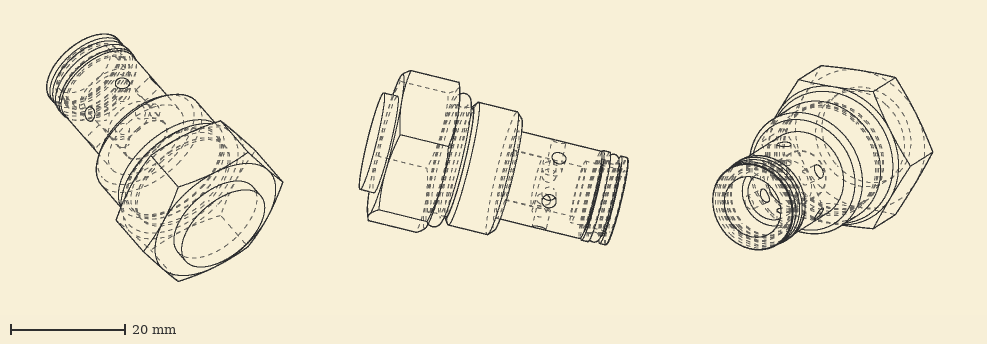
import cadquery as cq
import math

NOSE_X = -22.22
SHOULDER_X = -2.4
THREAD_END_X = 6.4
HEX_START_X = 9.55
HEX_END_X = 19.75
PLUG_END_X = 22.22

SLEEVE_DIAMETER = 15.82
NOSE_CHAMFER = 0.15
NOSE_FLANGE_LENGTH = 1.2
SEAL_GROOVE_LENGTH = 3.6
SEAL_GROOVE_DIAMETER = 13.2

MOUTH_DIAMETER = 11.1
MOUTH_DEPTH = 7.02
BORE_DIAMETER = 8.9
BORE_DEPTH = 19.82

PORT_DIAMETER = 2.5
PORT_COUNT = 6
PORT_X = -9.9

THREAD_DIAMETER = 22.22
FRONT_CHAMFER = 1.0
BACK_CHAMFER_LENGTH = 0.75
BACK_CHAMFER_DEPTH = 1.02
NECK_DIAMETER = 19.55

HEX_SIDES = 6
HEX_ACROSS_FLATS = 25.4
HEX_CHAMFER_ANGLE = 20.0

PLUG_DIAMETER = 17.45

NOSE_RING_OUTER_DIAMETER = 15.85
NOSE_RING_THICKNESS = 1.8
NECK_RING_OUTER_DIAMETER = 24.1
NECK_RING_THICKNESS = 2.5

BACKUP_RING_DIAMETER = 16.22
BACKUP_RING_WIDTH = 1.15
BACKUP_RING_GAP = 0.35

POPPET_DIAMETER = 8.65
POPPET_LENGTH = 5.35

groove_start_x = NOSE_X + NOSE_FLANGE_LENGTH
groove_end_x = groove_start_x + SEAL_GROOVE_LENGTH
backup_ring_end_x = groove_end_x - BACKUP_RING_GAP
backup_ring_start_x = backup_ring_end_x - BACKUP_RING_WIDTH
nose_ring_x = backup_ring_start_x - NOSE_RING_THICKNESS / 2
neck_ring_x = HEX_START_X - NECK_RING_THICKNESS / 2
bore_end_x = NOSE_X + BORE_DEPTH


def cylinder(diameter, start_x, end_x):
    """Solid cylinder on the X axis between two stations."""
    return cq.Workplane("YZ", origin=(start_x, 0, 0)).circle(diameter / 2).extrude(end_x - start_x)


def tube(outer_diameter, inner_diameter, start_x, end_x):
    """Hollow cylinder on the X axis between two stations."""
    return cylinder(outer_diameter, start_x, end_x).cut(cylinder(inner_diameter, start_x, end_x))


def make_o_ring(outer_diameter, thickness, centre_x):
    """Round-section ring about the X axis."""
    centre_radius = (outer_diameter - thickness) / 2
    ring = cq.Solid.makeTorus(centre_radius, thickness / 2, cq.Vector(centre_x, 0, 0), cq.Vector(1, 0, 0))
    return cq.Workplane(obj=ring)


def make_sleeve():
    """Nose part of the body, still solid inside, with its seal groove."""
    sleeve = cylinder(SLEEVE_DIAMETER, NOSE_X, SHOULDER_X).faces("<X").chamfer(NOSE_CHAMFER)
    return sleeve.cut(tube(SLEEVE_DIAMETER, SEAL_GROOVE_DIAMETER, groove_start_x, groove_end_x))


def make_thread():
    """Threaded section, plain on the outside, with a chamfer at each end."""
    thread = cylinder(THREAD_DIAMETER, SHOULDER_X, THREAD_END_X)
    thread = thread.faces("<X").chamfer(FRONT_CHAMFER)
    return thread.faces(">X").chamfer(BACK_CHAMFER_LENGTH, BACK_CHAMFER_DEPTH)


def make_hexagon():
    """Hexagonal prism whose corners are turned down to a cone at both ends."""
    flat_radius = HEX_ACROSS_FLATS / 2
    corner_radius = flat_radius / math.cos(math.pi / HEX_SIDES)
    chamfer_length = (corner_radius - flat_radius) * math.tan(math.radians(HEX_CHAMFER_ANGLE))
    prism = (
        cq.Workplane("YZ", origin=(HEX_START_X, 0, 0))
        .polygon(HEX_SIDES, 2 * corner_radius)
        .extrude(HEX_END_X - HEX_START_X)
    )
    turned_blank = (
        cq.Workplane("XY")
        .moveTo(HEX_START_X, 0)
        .lineTo(HEX_START_X, flat_radius)
        .lineTo(HEX_START_X + chamfer_length, corner_radius)
        .lineTo(HEX_END_X - chamfer_length, corner_radius)
        .lineTo(HEX_END_X, flat_radius)
        .lineTo(HEX_END_X, 0)
        .close()
        .revolve(360, (0, 0, 0), (1, 0, 0))
    )
    return prism.intersect(turned_blank)


def cut_bore(body):
    """Wide mouth and narrower blind bore, both from the nose."""
    mouth = cylinder(MOUTH_DIAMETER, NOSE_X, NOSE_X + MOUTH_DEPTH)
    bore = cylinder(BORE_DIAMETER, NOSE_X, bore_end_x)
    return body.cut(mouth).cut(bore)


def cut_ports(body):
    """Ring of radial holes from the outside of the sleeve into the bore."""
    port = cq.Workplane("XY", origin=(PORT_X, 0, 0)).circle(PORT_DIAMETER / 2).extrude(SLEEVE_DIAMETER)
    for index in range(PORT_COUNT):
        body = body.cut(port.rotate((0, 0, 0), (1, 0, 0), index * 360 / PORT_COUNT))
    return body


def make_body(seated_rings):
    """Sleeve, thread, neck and hexagon in one piece, recessed where the O-rings sit."""
    neck = cylinder(NECK_DIAMETER, THREAD_END_X, HEX_START_X)
    body = make_sleeve().union(make_thread()).union(neck).union(make_hexagon())
    body = cut_ports(cut_bore(body))
    for ring in seated_rings:
        body = body.cut(ring)
    return body


def make_backup_ring():
    """Flat ring fitting closely on the floor of the seal groove."""
    return tube(BACKUP_RING_DIAMETER, SEAL_GROOVE_DIAMETER, backup_ring_start_x, backup_ring_end_x)


def make_poppet():
    """Plain cylinder resting against the blind end of the bore."""
    return cylinder(POPPET_DIAMETER, bore_end_x - POPPET_LENGTH, bore_end_x)


def make_plug():
    """Plain disc against the back face of the hexagon."""
    return cylinder(PLUG_DIAMETER, HEX_END_X, PLUG_END_X)


nose_ring = make_o_ring(NOSE_RING_OUTER_DIAMETER, NOSE_RING_THICKNESS, nose_ring_x)
neck_ring = make_o_ring(NECK_RING_OUTER_DIAMETER, NECK_RING_THICKNESS, neck_ring_x)
body = make_body([nose_ring, neck_ring])
backup_ring = make_backup_ring()
poppet = make_poppet()
plug = make_plug()

result = cq.Compound.makeCompound(
    [body.val(), nose_ring.val(), neck_ring.val(), backup_ring.val(), poppet.val(), plug.val()]
)